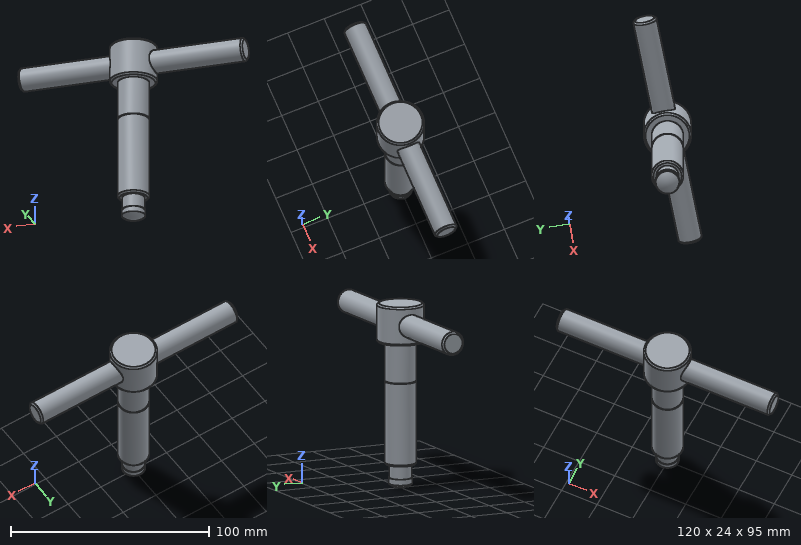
import cadquery as cq

total_height = 95.0
edge_chamfer = 1.0

bar_length = 120.0
bar_diameter = 12.0

head_diameter = 24.0
head_height = 19.9

shank_diameter = 16.1
shank_length = 63.1
groove_depth = 0.1
groove_width = 0.4
groove_below_head = 20.2

neck_diameter = 11.4
collar_diameter = 12.0
collar_height = 3.0
nose_height = 2.2

head_bottom = total_height - head_height
shank_bottom = head_bottom - shank_length
collar_top = nose_height + collar_height
bar_level = total_height - head_height / 2
groove_level = head_bottom - groove_below_head


def cylinder(diameter, bottom, top):
    return cq.Workplane("XY").workplane(offset=bottom).circle(diameter / 2).extrude(top - bottom)


def make_head():
    return cylinder(head_diameter, head_bottom, total_height).faces("|Z").edges().chamfer(edge_chamfer)


def make_shank():
    shank = cylinder(shank_diameter, shank_bottom, head_bottom).faces("<Z").edges().chamfer(edge_chamfer)
    groove_bottom = groove_level - groove_width / 2
    groove_top = groove_level + groove_width / 2
    core = cylinder(shank_diameter - 2 * groove_depth, groove_bottom, groove_top)
    ring = cylinder(head_diameter, groove_bottom, groove_top).cut(core)
    return shank.cut(ring)


def make_nose():
    """Collar ending in a spherical cap, revolved about the spindle axis."""
    radius = collar_diameter / 2
    sphere_radius = (radius**2 + nose_height**2) / (2 * nose_height)
    arc_mid_x = radius / 2
    arc_mid_z = sphere_radius - (sphere_radius**2 - arc_mid_x**2) ** 0.5
    return (
        cq.Workplane("XZ")
        .threePointArc((arc_mid_x, arc_mid_z), (radius, nose_height))
        .lineTo(radius, collar_top)
        .lineTo(0, collar_top)
        .close()
        .revolve(360, (0, 0, 0), (0, 1, 0))
    )


def make_crossbar():
    return (
        cq.Workplane("YZ", origin=(-bar_length / 2, 0, bar_level))
        .circle(bar_diameter / 2)
        .extrude(bar_length)
        .faces("|X")
        .edges()
        .chamfer(edge_chamfer)
    )


neck = cylinder(neck_diameter, collar_top, shank_bottom)
result = make_head().union(make_shank()).union(neck).union(make_nose()).union(make_crossbar())